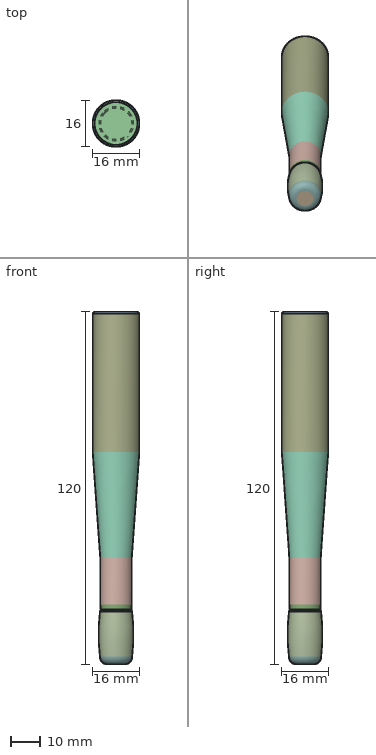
import cadquery as cq
import math

total_length = 120.0
shank_diameter = 16.0
top_chamfer = 0.7

shank_bottom = 72.2
cone_bottom = 36.1
neck_bottom = 20.4
joint_height = 18.8

neck_diameter = 10.8
joint_diameter = 10.5

collar_bottom = 18.4
barrel_top = 17.9
nose_radius = 2.6
barrel_bottom = nose_radius
barrel_end_diameter = 11.0
barrel_max_diameter = 12.0


def make_holder():
    """Cylindrical shank that tapers to a slim neck, ending in a flat joint face."""
    shank_radius = shank_diameter / 2
    neck_radius = neck_diameter / 2
    profile = (
        cq.Workplane("XZ")
        .moveTo(0, joint_height)
        .lineTo(joint_diameter / 2, joint_height)
        .lineTo(neck_radius, neck_bottom)
        .lineTo(neck_radius, cone_bottom)
        .lineTo(shank_radius, shank_bottom)
        .lineTo(shank_radius, total_length - top_chamfer)
        .lineTo(shank_radius - top_chamfer, total_length)
        .lineTo(0, total_length)
        .close()
    )
    return profile.revolve(360, (0, 0, 0), (0, 1, 0))


def make_head():
    """Barrel head with a short collar at the joint and a rounded nose with a flat end."""
    joint_radius = joint_diameter / 2
    end_radius = barrel_end_diameter / 2
    flat_radius = end_radius - nose_radius
    barrel_middle = (barrel_max_diameter / 2, (barrel_top + barrel_bottom) / 2)
    nose_diagonal = nose_radius * math.sqrt(0.5)
    nose_middle = (flat_radius + nose_diagonal, nose_radius - nose_diagonal)
    profile = (
        cq.Workplane("XZ")
        .lineTo(flat_radius, 0)
        .threePointArc(nose_middle, (end_radius, barrel_bottom))
        .threePointArc(barrel_middle, (end_radius, barrel_top))
        .lineTo(joint_radius, collar_bottom)
        .lineTo(joint_radius, joint_height)
        .lineTo(0, joint_height)
        .close()
    )
    return profile.revolve(360, (0, 0, 0), (0, 1, 0))


holder = make_holder()
head = make_head()

result = cq.Compound.makeCompound([holder.val(), head.val()])